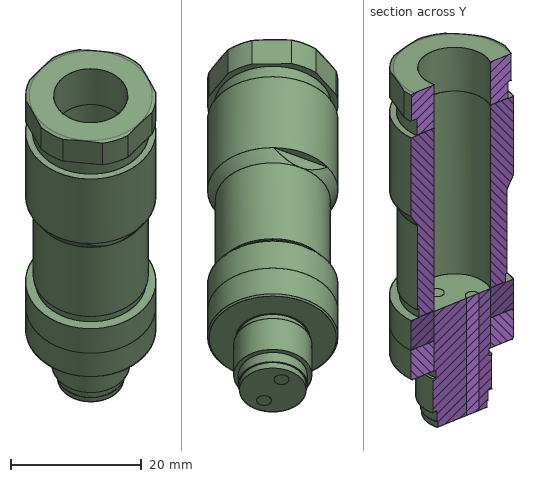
import cadquery as cq
import math


total_height = 63.0
hex_bottom = 58.0
nut_bottom = 55.0
collar_bottom = 40.6
cone_bottom = 38.5
barrel_bottom = 23.05
sleeve_bottom = 21.55
upper_ring_bottom = 16.05
lower_ring_bottom = 10.6
thread_top = 9.3
thread_bottom = 3.0
nose_bottom = 1.15

outer_radius = 20.0 / 2
bore_radius = 5.7
nut_neck_radius = 8.95
barrel_radius = 8.8
sleeve_neck_radius = 8.5
groove_radius = 5.5
thread_radius = 6.0
nose_radius = 5.3
tip_radius = 5.1

hex_across_flats = 19.0
hex_flat_angle = 45.0
hex_half_side_angle = 30.0
nut_chamfer_width = 0.55
nut_chamfer_height = 0.16

cone_flat_angles = (-45.0, 135.0)
cone_flat_distance = barrel_radius

ring_chamfer = 0.25
pin_radius = 1.15
pin_circle_radius = 2.8
pin_angles = (135.0, -45.0)


def cylinder(radius, bottom, top):
    return cq.Workplane("XY").workplane(offset=bottom).circle(radius).extrude(top - bottom)


def tube(radius, bottom, top):
    return cylinder(radius, bottom, top).cut(cylinder(bore_radius, bottom, top))


def revolved(profile):
    """Solid of revolution about Z from (radius, height) points."""
    return cq.Workplane("XZ").polyline(profile).close().revolve(360, (0, 0), (0, 1))


def make_nut():
    hex_height = total_height - hex_bottom
    blank = revolved([
        (0, hex_bottom),
        (outer_radius, hex_bottom),
        (outer_radius, total_height - nut_chamfer_height),
        (outer_radius - nut_chamfer_width, total_height),
        (0, total_height),
    ])
    corner_diameter = hex_across_flats / math.cos(math.radians(hex_half_side_angle))
    hexagon = (
        cq.Workplane("XY").workplane(offset=hex_bottom)
        .polygon(6, corner_diameter).extrude(hex_height)
        .rotate((0, 0, 0), (0, 0, 1), hex_flat_angle - hex_half_side_angle)
    )
    neck = cylinder(nut_neck_radius, nut_bottom, hex_bottom)
    bore = cylinder(bore_radius, nut_bottom, total_height)
    return blank.intersect(hexagon).union(neck).cut(bore)


def cone_flat_cutter(angle):
    """Block that removes the cone outside a vertical plane facing the given angle."""
    cone_height = collar_bottom - cone_bottom
    return (
        cq.Workplane("XY")
        .box(outer_radius, 2 * outer_radius, cone_height, centered=(False, True, False))
        .translate((cone_flat_distance, 0, cone_bottom))
        .rotate((0, 0, 0), (0, 0, 1), angle)
    )


def make_sleeve():
    sleeve = revolved([
        (bore_radius, sleeve_bottom),
        (sleeve_neck_radius, sleeve_bottom),
        (sleeve_neck_radius, barrel_bottom),
        (barrel_radius, barrel_bottom),
        (barrel_radius, cone_bottom),
        (outer_radius, collar_bottom),
        (outer_radius, nut_bottom),
        (bore_radius, nut_bottom),
    ])
    for angle in cone_flat_angles:
        sleeve = sleeve.cut(cone_flat_cutter(angle))
    return sleeve


def make_upper_ring():
    return tube(outer_radius, upper_ring_bottom, sleeve_bottom)


def make_lower_ring():
    blank = cylinder(outer_radius, lower_ring_bottom, upper_ring_bottom).faces("<Z").chamfer(ring_chamfer)
    return blank.cut(cylinder(bore_radius, lower_ring_bottom, upper_ring_bottom))


def make_pin(angle):
    x = pin_circle_radius * math.cos(math.radians(angle))
    y = pin_circle_radius * math.sin(math.radians(angle))
    return cylinder(pin_radius, 0, sleeve_bottom).translate((x, y, 0))


def make_insert():
    """Stem filling the rings, groove, threaded collar, nose and tip, with a hole for each pin."""
    insert = revolved([
        (0, 0),
        (tip_radius, 0),
        (tip_radius, nose_bottom),
        (nose_radius, nose_bottom),
        (nose_radius, thread_bottom),
        (thread_radius, thread_bottom),
        (thread_radius, thread_top),
        (groove_radius, thread_top),
        (groove_radius, lower_ring_bottom),
        (bore_radius, lower_ring_bottom),
        (bore_radius, sleeve_bottom),
        (0, sleeve_bottom),
    ])
    for angle in pin_angles:
        insert = insert.cut(make_pin(angle))
    return insert


nut = make_nut()
sleeve = make_sleeve()
upper_ring = make_upper_ring()
lower_ring = make_lower_ring()
insert = make_insert()
pins = [make_pin(angle) for angle in pin_angles]

result = cq.Compound.makeCompound([
    nut.val(),
    sleeve.val(),
    upper_ring.val(),
    lower_ring.val(),
    insert.val(),
    *[pin.val() for pin in pins],
])